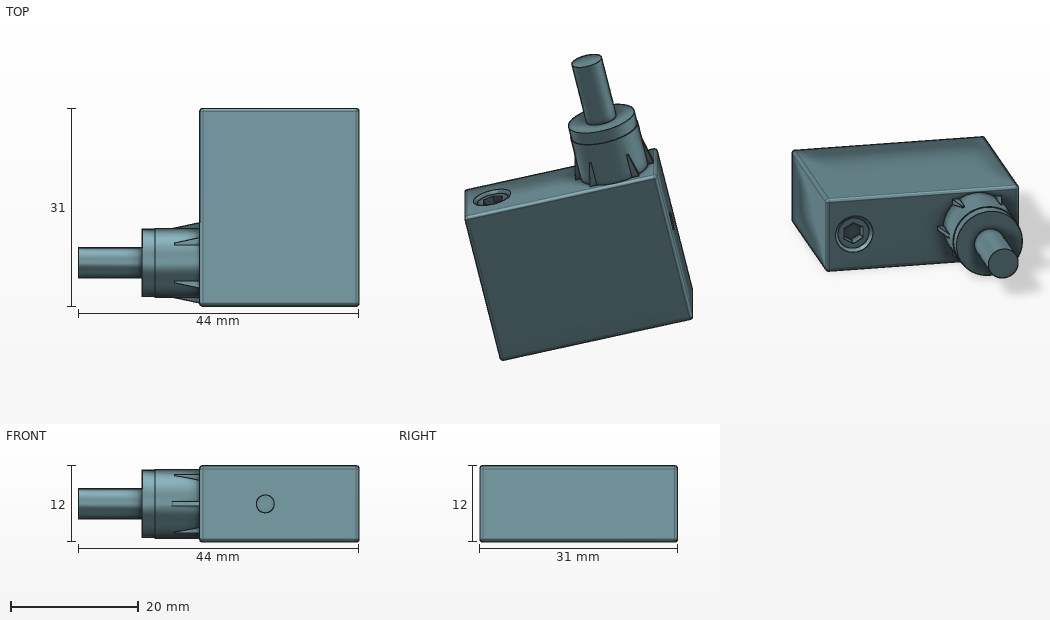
import cadquery as cq
import math

BLOCK_LENGTH = 25.0
BLOCK_WIDTH = 31.0
BLOCK_HEIGHT = 12.0
EDGE_RADIUS = 0.5

CABLE_LENGTH = 10.0
CABLE_DIAMETER = 4.8
COLLAR_LENGTH = 2.0
COLLAR_DIAMETER = 10.6
RELIEF_LENGTH = 7.0
RELIEF_DIAMETER = 10.8
CABLE_Y = 6.8

SIDE_RIB_HALF_WIDTH = 6.3
SIDE_RIB_LENGTH = 4.5
SIDE_RIB_HEIGHT = 0.7
CORNER_RIB_HALF_WIDTH = 3.95
CORNER_RIB_LENGTH = 3.9
CORNER_RIB_HEIGHT = 9.2
RIB_TAPER_ANGLE = 12.0

SCREW_EDGE_DISTANCE = 4.5
SCREW_RECESS_DIAMETER = 6.0
SCREW_RECESS_FLOOR_DIAMETER = 5.0
SCREW_RECESS_DEPTH = 0.5
HEX_ACROSS_FLATS = 3.0
HEX_DEPTH = 2.0

WINDOW_X = 10.3
WINDOW_DIAMETER = 2.8
WINDOW_DEPTH = 0.2

MID_Z = BLOCK_HEIGHT / 2
SCREW_Y = BLOCK_WIDTH - SCREW_EDGE_DISTANCE


def x_cylinder(diameter, x_start, length):
    """Cylinder on the cable axis, running towards +X."""
    plane = cq.Plane(origin=(x_start, CABLE_Y, MID_Z), xDir=(0, 1, 0), normal=(1, 0, 0))
    return cq.Workplane(plane).circle(diameter / 2).extrude(length)


def make_block():
    block = cq.Workplane("XY").box(BLOCK_LENGTH, BLOCK_WIDTH, BLOCK_HEIGHT, centered=False)
    return block.edges().fillet(EDGE_RADIUS)


def make_cable_entry():
    collar_x = -RELIEF_LENGTH - COLLAR_LENGTH
    relief = x_cylinder(RELIEF_DIAMETER, -RELIEF_LENGTH, RELIEF_LENGTH)
    collar = x_cylinder(COLLAR_DIAMETER, collar_x, COLLAR_LENGTH)
    cable = x_cylinder(CABLE_DIAMETER, collar_x - CABLE_LENGTH, CABLE_LENGTH)
    return relief.union(collar).union(cable)


def make_rib_pair(half_width, length, height):
    """Wedge across the cable axis whose two flanks form a pair of ribs."""
    tip_half_width = half_width - length * math.tan(math.radians(RIB_TAPER_ANGLE))
    outline = [
        (0, CABLE_Y - half_width),
        (0, CABLE_Y + half_width),
        (-length, CABLE_Y + tip_half_width),
        (-length, CABLE_Y - tip_half_width),
    ]
    wedge = cq.Workplane("XY", origin=(0, 0, MID_Z)).polyline(outline).close()
    return wedge.extrude(height / 2, both=True)


def make_screw_recess():
    """Conical countersink with a hexagonal socket in its floor."""
    face = cq.Plane(origin=(0, SCREW_Y, MID_Z), xDir=(0, 0, 1), normal=(1, 0, 0))
    countersink = (
        cq.Workplane(face)
        .circle(SCREW_RECESS_DIAMETER / 2)
        .workplane(offset=SCREW_RECESS_DEPTH)
        .circle(SCREW_RECESS_FLOOR_DIAMETER / 2)
        .loft()
    )
    across_corners = HEX_ACROSS_FLATS / math.cos(math.pi / 6)
    socket = cq.Workplane(face).polygon(6, across_corners).extrude(SCREW_RECESS_DEPTH + HEX_DEPTH)
    return countersink.union(socket)


def make_window_recess():
    face = cq.Workplane("XZ", origin=(WINDOW_X, 0, MID_Z))
    return face.circle(WINDOW_DIAMETER / 2).extrude(-WINDOW_DEPTH)


sensor = make_block().union(make_cable_entry())
sensor = sensor.union(make_rib_pair(SIDE_RIB_HALF_WIDTH, SIDE_RIB_LENGTH, SIDE_RIB_HEIGHT))
sensor = sensor.union(make_rib_pair(CORNER_RIB_HALF_WIDTH, CORNER_RIB_LENGTH, CORNER_RIB_HEIGHT))
sensor = sensor.cut(make_screw_recess())
result = sensor.cut(make_window_recess())